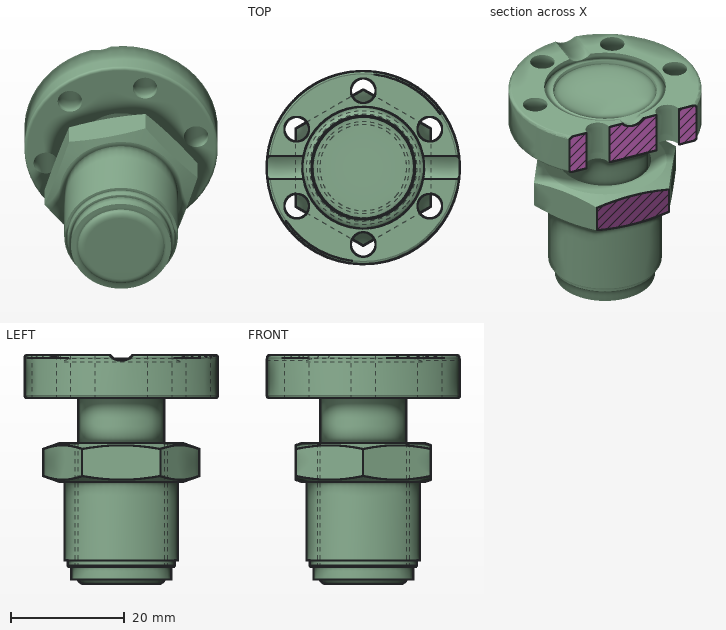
import cadquery as cq
import math

gland_face_z = 0.8
nut_bottom_z = 3.05
thread_bottom_z = 4.2
hex_bottom_z = 18.0
hex_top_z = 24.8
flange_bottom_z = 32.7
flange_top_z = 40.3

flange_diameter = 34.0
flange_edge_radius = 0.5
bolt_count = 6
bolt_circle_diameter = 27.0
bolt_hole_diameter = 4.3
first_bolt_angle = 30.0
recess_diameter = 21.4
recess_depth = 1.25
knife_crest_diameter = 18.25
knife_root_diameter = 17.9
knife_crest_depth = 0.65
groove_width = 4.05
groove_depth = 1.0

stem_diameter = 15.2
gland_head_diameter = 17.6
bead_outer_diameter = 15.5
bead_crest_diameter = 12.7

hex_sides = 6
hex_across_flats = 23.8
hex_chamfer_circle_diameter = 21.7
hex_chamfer_angle = 19.5
thread_diameter = 20.0
nut_lead_diameter = 18.9
nut_lead_chamfer = 0.2
nut_bore_diameter = 16.2


def cylinder(diameter, bottom_z, top_z):
    """Upright cylinder on the Z axis between two heights."""
    return cq.Workplane("XY").workplane(offset=bottom_z).circle(diameter / 2).extrude(top_z - bottom_z)


def revolve_about_z(profile):
    """Turn an XZ profile (X is the radius) once around the Z axis."""
    return profile.revolve(360, (0, 0, 0), (0, 1, 0))


def make_flange():
    """Round flange with a knife edge in its recess, bolt holes and leak-check grooves."""
    disc = cylinder(flange_diameter, flange_bottom_z, flange_top_z)
    disc = disc.faces("<Z or >Z").edges().fillet(flange_edge_radius)

    floor_z = flange_top_z - recess_depth
    crest_z = flange_top_z - knife_crest_depth
    recess = revolve_about_z(
        cq.Workplane("XZ")
        .moveTo(0, floor_z)
        .lineTo(knife_root_diameter / 2, floor_z)
        .lineTo(knife_crest_diameter / 2, crest_z)
        .lineTo(recess_diameter / 2, floor_z)
        .lineTo(recess_diameter / 2, flange_top_z)
        .lineTo(0, flange_top_z)
        .close()
    )

    groove_radius = ((groove_width / 2) ** 2 + groove_depth**2) / (2 * groove_depth)
    groove = (
        cq.Workplane("YZ")
        .center(0, flange_top_z - groove_depth + groove_radius)
        .circle(groove_radius)
        .extrude(flange_diameter / 2, both=True)
        .cut(cylinder(recess_diameter, flange_bottom_z, flange_top_z))
    )

    bolt_holes = (
        cq.Workplane("XY")
        .workplane(offset=flange_bottom_z)
        .polarArray(bolt_circle_diameter / 2, first_bolt_angle, 360, bolt_count)
        .circle(bolt_hole_diameter / 2)
        .extrude(flange_top_z - flange_bottom_z)
    )
    return disc.cut(recess).cut(groove).cut(bolt_holes)


def make_gland():
    """Stem under the flange, ending in a wider head with a rounded sealing bead."""
    stem = cylinder(stem_diameter, nut_bottom_z, flange_bottom_z)
    head = cylinder(gland_head_diameter, gland_face_z, nut_bottom_z)
    bead_radius = (bead_outer_diameter - bead_crest_diameter) / 2
    bead = cylinder(bead_outer_diameter, 0, nut_bottom_z).faces("<Z").edges().fillet(bead_radius)
    return stem.union(head).union(bead)


def make_nut():
    """Male nut that turns freely on the stem and bears on the gland head."""
    half_side_angle = 180 / hex_sides
    hex_corner_diameter = hex_across_flats / math.cos(math.radians(half_side_angle))
    hexagon = (
        cq.Workplane("XY")
        .workplane(offset=hex_bottom_z)
        .transformed(rotate=(0, 0, half_side_angle))
        .polygon(hex_sides, hex_corner_diameter)
        .extrude(hex_top_z - hex_bottom_z)
    )

    chamfer_width = (hex_corner_diameter - hex_chamfer_circle_diameter) / 2
    chamfer_height = chamfer_width * math.tan(math.radians(hex_chamfer_angle))
    chamfer_envelope = cylinder(hex_corner_diameter, hex_bottom_z, hex_top_z)
    chamfer_envelope = chamfer_envelope.faces(">Z").edges().chamfer(chamfer_height, chamfer_width)
    chamfer_envelope = chamfer_envelope.faces("<Z").edges().chamfer(chamfer_height, chamfer_width)
    hexagon = hexagon.intersect(chamfer_envelope)

    thread = cylinder(thread_diameter, thread_bottom_z, hex_bottom_z)
    lead = cylinder(nut_lead_diameter, nut_bottom_z, thread_bottom_z)
    lead = lead.faces("<Z").edges().chamfer(nut_lead_chamfer)
    bore = cylinder(nut_bore_diameter, nut_bottom_z, hex_top_z)
    return hexagon.union(thread).union(lead).cut(bore)


flange = make_flange()
gland = make_gland()
nut = make_nut()

result = cq.Compound.makeCompound([flange.val(), gland.val(), nut.val()])